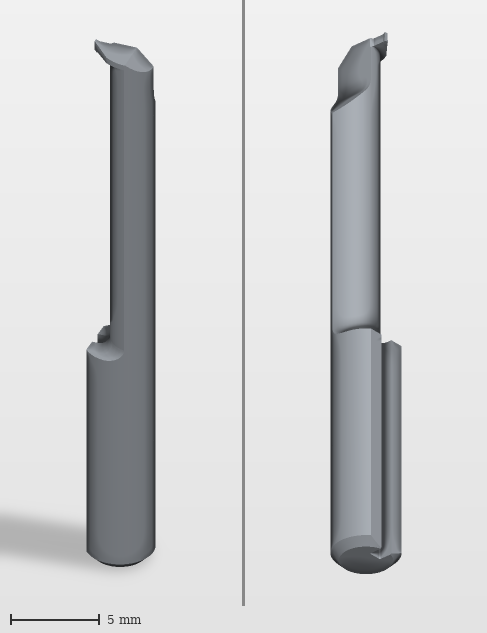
import cadquery as cq
import math

length = 34.0
shank_radius = 2.0
flat_x = -1.53
end_chamfer = 0.48

slot_width = 0.85
slot_floor_x = -0.663
slot_corner_radius = 0.1

neck_radius = 1.8
neck_axis_x = 1.33
shoulder_z = 14.0
shoulder_fillet = 0.78

head_top_chamfer = 1.02
head_thickness = 0.5
tip_x = -1.5
tip_rake_y = 0.07
tip_back_y = -0.15
relief_end = (-0.27, -1.4)
relief_middle = (0.35, -1.65)
lip_width = 0.27
lip_drop = 0.07
clearance_angle = 3.0

rake_y = 0.1
flute_end_z = 31.45
runout_radius = 1.53
runout_angle = 40.0

groove_y = -0.05
groove_start_x = -1.22
groove_floor_end_x = -0.55
groove_end_x = -0.4

margin = 3.4


def make_shank():
    bar = cq.Workplane("XY").circle(shank_radius).extrude(length)
    bar = bar.faces("<Z").chamfer(end_chamfer)
    beside_flat = cq.Workplane("XY").box(
        margin, 2 * margin, length, centered=(False, True, False)
    ).translate((flat_x - margin, 0, 0))
    return bar.cut(beside_flat)


def neck_relief():
    """Ring around the neck, with a concave fillet above the shoulder."""
    fillet_outer = neck_radius + shoulder_fillet
    bend = shoulder_fillet * (1 - math.sqrt(0.5))
    return (
        cq.Workplane("XZ", origin=(neck_axis_x, 0, 0))
        .moveTo(neck_radius, length)
        .lineTo(neck_radius, shoulder_z + shoulder_fillet)
        .threePointArc((neck_radius + bend, shoulder_z + bend), (fillet_outer, shoulder_z))
        .lineTo(fillet_outer + margin, shoulder_z)
        .lineTo(fillet_outer + margin, length)
        .close()
        .revolve(360, (0, 0), (0, 1))
    )


def coolant_slot():
    slot_length = slot_floor_x - flat_x + margin
    return (
        cq.Workplane("XY")
        .box(slot_length, slot_width, length, centered=(False, True, False))
        .edges("|Z and >X").fillet(slot_corner_radius)
        .translate((slot_floor_x - slot_length, 0, 0))
    )


def neck_edge_x():
    """X where the neck cylinder meets the shank cylinder."""
    return (shank_radius**2 - neck_radius**2 + neck_axis_x**2) / (2 * neck_axis_x)


def tilt(body, angle):
    """Turn about the rake line at the top; a positive angle lowers the -Y side."""
    pivot = (0, rake_y, length)
    return body.rotate(pivot, (1, rake_y, length), angle)


def make_head():
    """Thin hook at the top, with a small lip below its tip; its underside rises toward -Y."""
    corner_x = neck_edge_x()
    corner_y = -math.sqrt(shank_radius**2 - corner_x**2)
    plate = (
        cq.Workplane("XY", origin=(0, 0, length - head_thickness))
        .moveTo(tip_x, tip_rake_y)
        .lineTo(tip_x, tip_back_y)
        .lineTo(*relief_end)
        .threePointArc(relief_middle, (corner_x, corner_y))
        .lineTo(corner_x, rake_y)
        .lineTo(groove_end_x, rake_y)
        .close()
        .extrude(head_thickness)
    )
    lip_slope = (relief_end[1] - tip_back_y) / (relief_end[0] - tip_x)
    lip = (
        cq.Workplane("XY", origin=(0, 0, length - head_thickness - lip_drop))
        .moveTo(tip_x, tip_rake_y)
        .lineTo(tip_x, tip_back_y)
        .lineTo(tip_x + lip_width, tip_back_y + lip_slope * lip_width)
        .lineTo(tip_x + lip_width, tip_rake_y)
        .close()
        .extrude(lip_drop + head_thickness)
    )
    return tilt(plate.union(lip), -clearance_angle)


def flute():
    def arc_point(degrees):
        turn = math.radians(degrees)
        y = rake_y + runout_radius * (1 - math.cos(turn))
        return y, flute_end_z - runout_radius * math.sin(turn)

    ramp_y, ramp_z = arc_point(runout_angle)
    ramp_drop = margin / math.tan(math.radians(runout_angle))
    return (
        cq.Workplane("YZ")
        .moveTo(rake_y, length)
        .lineTo(rake_y, flute_end_z)
        .threePointArc(arc_point(runout_angle / 2), (ramp_y, ramp_z))
        .lineTo(ramp_y + margin, ramp_z - ramp_drop)
        .lineTo(ramp_y + margin, length)
        .close()
        .extrude(margin, both=True)
    )


def chip_groove():
    height = head_thickness + lip_drop
    return (
        cq.Workplane("XY", origin=(0, 0, length - height))
        .moveTo(tip_x, tip_rake_y)
        .lineTo(groove_start_x, groove_y)
        .lineTo(groove_floor_end_x, groove_y)
        .lineTo(groove_end_x, rake_y)
        .lineTo(tip_x, rake_y)
        .close()
        .extrude(height)
    )


def top_cut():
    """Everything above the sloping top face and its chamfer on the +X side."""
    start_x = shank_radius - head_top_chamfer
    cutter = (
        cq.Workplane("XZ")
        .moveTo(-margin, length)
        .lineTo(start_x, length)
        .lineTo(start_x + margin, length - margin)
        .lineTo(start_x + margin, length + margin)
        .lineTo(-margin, length + margin)
        .close()
        .extrude(margin, both=True)
    )
    return tilt(cutter, clearance_angle)


result = make_shank().cut(neck_relief()).cut(coolant_slot())
result = result.union(make_head())
for cutter in (flute(), chip_groove(), top_cut()):
    result = result.cut(cutter)